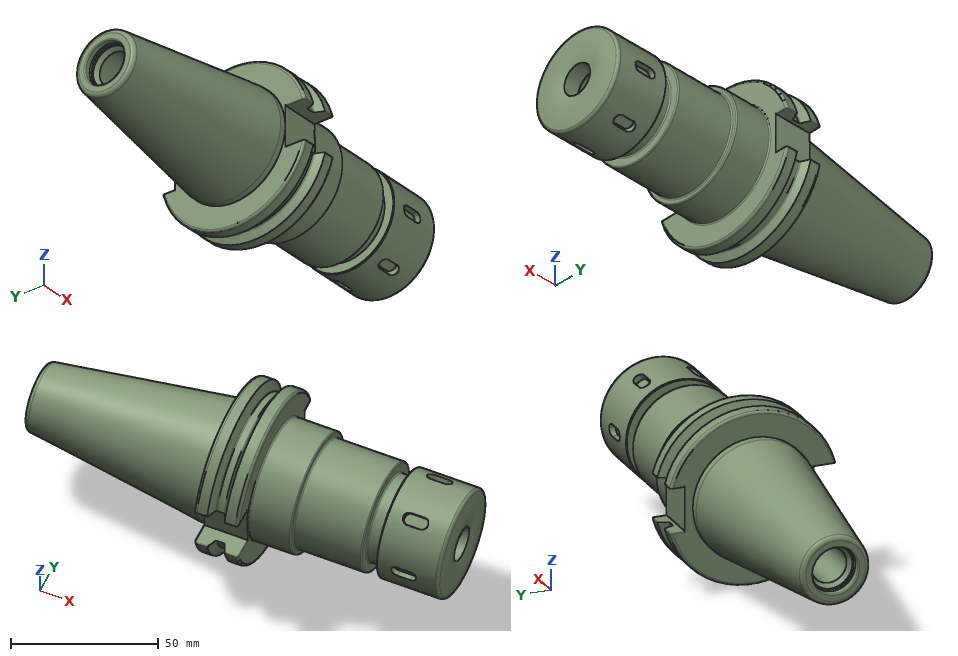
import cadquery as cq

TOTAL_LENGTH = 158.2

TAPER_END_DIA = 25.0
TAPER_LENGTH = 68.7
TAPER_END_FILLET = 1.7
COLLAR_DIA = 44.5

FLANGE_DIA = 63.3
FLANGE_START = 71.4
FLANGE_END = 87.5
FLANGE_FILLET = 1.0
GROOVE_FLOOR_DIA = 56.0
GROOVE_FLOOR_WIDTH = 3.2
GROOVE_WIDTH = 6.5
GROOVE_CENTRE = 79.5

DRIVE_SLOT_WIDTH = 16.1
DRIVE_SLOT_ROUND = 0.24
NEAR_SLOT_FLOOR = 22.3
FAR_SLOT_FLOOR = 25.2

COLLAR_END = 103.3
BARREL_DIA = 40.0
BARREL_END = 128.8
NECK_DIA = 32.1
STEP_ROUND = 0.5

BORE_DIA = 13.0
MOUTH_DIA = 16.8
MOUTH_DEPTH = 2.5
MOUTH_FILLET = 0.5
PILOT_DIA = 15.8
PILOT_START = MOUTH_DEPTH + (MOUTH_DIA - PILOT_DIA) / 2
PILOT_END = 4.0
BORE_START = 5.7

NUT_DIA = 40.0
NUT_START = 134.4
NUT_REAR_CHAMFER = 0.3
NUT_CREST_DIA = 26.3
NUT_CROWN_HEIGHT = 1.1
NUT_RIM_FILLET = 1.3
NUT_WALL = 7.9

SPANNER_SLOT_COUNT = 6
FIRST_SPANNER_SLOT_ANGLE = 90
SPANNER_SLOT_LENGTH = 9.2
SPANNER_SLOT_WIDTH = 4.3
SPANNER_SLOT_CENTRE = 144.5
SPANNER_SLOT_DEPTH = 2.4

SPIGOT_END = TOTAL_LENGTH - NUT_WALL
DOME_EDGE = TOTAL_LENGTH - NUT_CROWN_HEIGHT
NUT_OPENING_DIA = 2 * NUT_CREST_DIA - NUT_DIA

MATCH_TOLERANCE = 0.02


def revolve_about_x(points):
    """Revolve a closed outline of (x, radius) points about the X axis."""
    return cq.Workplane("XY").polyline(points).close().revolve(360, (0, 0, 0), (1, 0, 0))


def cylinder(start, end, diameter):
    return cq.Workplane("YZ", origin=(start, 0, 0)).circle(diameter / 2).extrude(end - start)


def ring_edge(body, x, diameter):
    """Select the circular edge of the given diameter at position x."""
    return body.edges("%CIRCLE").filter(
        lambda edge: abs(edge.Center().x - x) < MATCH_TOLERANCE
        and abs(edge.radius() - diameter / 2) < MATCH_TOLERANCE
    )


def make_holder_blank():
    groove_floor_start = GROOVE_CENTRE - GROOVE_FLOOR_WIDTH / 2
    groove_floor_end = GROOVE_CENTRE + GROOVE_FLOOR_WIDTH / 2
    blank = revolve_about_x([
        (0, 0),
        (0, TAPER_END_DIA / 2),
        (TAPER_LENGTH, COLLAR_DIA / 2),
        (FLANGE_START, COLLAR_DIA / 2),
        (FLANGE_START, FLANGE_DIA / 2),
        (GROOVE_CENTRE - GROOVE_WIDTH / 2, FLANGE_DIA / 2),
        (groove_floor_start, GROOVE_FLOOR_DIA / 2),
        (groove_floor_end, GROOVE_FLOOR_DIA / 2),
        (GROOVE_CENTRE + GROOVE_WIDTH / 2, FLANGE_DIA / 2),
        (FLANGE_END, FLANGE_DIA / 2),
        (FLANGE_END, COLLAR_DIA / 2),
        (COLLAR_END, COLLAR_DIA / 2),
        (COLLAR_END, BARREL_DIA / 2),
        (BARREL_END, BARREL_DIA / 2),
        (BARREL_END, NECK_DIA / 2),
        (SPIGOT_END, NECK_DIA / 2),
        (SPIGOT_END, 0),
    ])
    rounds = [
        (0, TAPER_END_DIA, TAPER_END_FILLET),
        (FLANGE_START, FLANGE_DIA, FLANGE_FILLET),
        (groove_floor_start, GROOVE_FLOOR_DIA, STEP_ROUND),
        (groove_floor_end, GROOVE_FLOOR_DIA, STEP_ROUND),
        (FLANGE_END, FLANGE_DIA, FLANGE_FILLET),
        (FLANGE_END, COLLAR_DIA, STEP_ROUND),
        (COLLAR_END, COLLAR_DIA, STEP_ROUND),
        (COLLAR_END, BARREL_DIA, STEP_ROUND),
        (BARREL_END, BARREL_DIA, STEP_ROUND),
        (BARREL_END, NECK_DIA, STEP_ROUND),
    ]
    for x, diameter, radius in rounds:
        blank = ring_edge(blank, x, diameter).fillet(radius)
    return blank


def cut_drive_slot(body, side, floor):
    length = FLANGE_END - FLANGE_START
    depth = FLANGE_DIA / 2
    slot = cq.Workplane("XY").box(length, depth, DRIVE_SLOT_WIDTH).translate(
        (FLANGE_START + length / 2, side * (floor + depth / 2), 0)
    )
    return body.cut(slot)


def round_drive_slots(body):
    """Round the edges where the slot walls run out on the two flange lands."""
    wall_z = DRIVE_SLOT_WIDTH / 2
    rim_y = (FLANGE_DIA**2 / 4 - wall_z**2) ** 0.5
    rims = body.edges("|X").filter(
        lambda edge: abs(abs(edge.Center().y) - rim_y) < MATCH_TOLERANCE
        and abs(abs(edge.Center().z) - wall_z) < MATCH_TOLERANCE
    )
    return rims.fillet(DRIVE_SLOT_ROUND)


def make_bore():
    return revolve_about_x([
        (0, 0),
        (0, MOUTH_DIA / 2),
        (MOUTH_DEPTH, MOUTH_DIA / 2),
        (PILOT_START, PILOT_DIA / 2),
        (PILOT_END, PILOT_DIA / 2),
        (BORE_START, BORE_DIA / 2),
        (SPIGOT_END, BORE_DIA / 2),
        (SPIGOT_END, 0),
    ])


def make_holder():
    holder = make_holder_blank()
    holder = cut_drive_slot(holder, -1, NEAR_SLOT_FLOOR)
    holder = cut_drive_slot(holder, 1, FAR_SLOT_FLOOR)
    holder = round_drive_slots(holder)
    holder = holder.cut(make_bore())
    return ring_edge(holder, 0, MOUTH_DIA).fillet(MOUTH_FILLET)


def make_nut_blank():
    blank = (
        cq.Workplane("XY")
        .moveTo(NUT_START, 0)
        .lineTo(NUT_START, NUT_DIA / 2)
        .lineTo(DOME_EDGE, NUT_DIA / 2)
        .threePointArc((TOTAL_LENGTH, NUT_CREST_DIA / 2), (DOME_EDGE, NUT_OPENING_DIA / 2))
        .lineTo(DOME_EDGE, 0)
        .close()
        .revolve(360, (0, 0, 0), (1, 0, 0))
    )
    blank = ring_edge(blank, DOME_EDGE, NUT_DIA).fillet(NUT_RIM_FILLET)
    return ring_edge(blank, NUT_START, NUT_DIA).chamfer(NUT_REAR_CHAMFER)


def make_spanner_slot(angle):
    floor = NUT_DIA / 2 - SPANNER_SLOT_DEPTH
    slot = (
        cq.Workplane("XY", origin=(SPANNER_SLOT_CENTRE, 0, floor))
        .slot2D(SPANNER_SLOT_LENGTH, SPANNER_SLOT_WIDTH)
        .extrude(2 * SPANNER_SLOT_DEPTH)
    )
    return slot.rotate((0, 0, 0), (1, 0, 0), angle)


def make_nut():
    nut = make_nut_blank()
    nut = nut.cut(cylinder(NUT_START, SPIGOT_END, NECK_DIA))
    nut = nut.cut(cylinder(SPIGOT_END, TOTAL_LENGTH, NUT_OPENING_DIA))
    for i in range(SPANNER_SLOT_COUNT):
        nut = nut.cut(make_spanner_slot(FIRST_SPANNER_SLOT_ANGLE + i * 360 / SPANNER_SLOT_COUNT))
    return nut


holder = make_holder()
nut = make_nut()

result = cq.Compound.makeCompound([holder.val(), nut.val()])